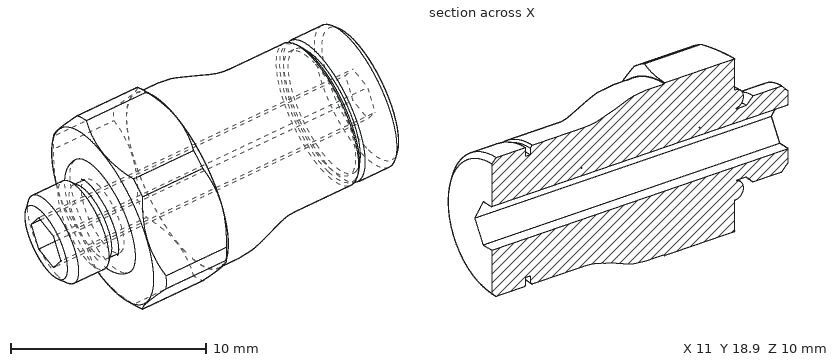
import cadquery as cq
import math

stud_radius = 2.5
stud_chamfer = 0.42
neck_radius = 2.08
thread_end = 2.25
neck_start = thread_end + stud_radius - neck_radius

hex_start = 3.4
hex_end = 7.9
hex_across_flats = 10.0
hex_corner_radius = 5.5
hex_chamfer_length = 0.44
hex_chamfer_depth = 0.52

seal_section_radius = 0.56

collar_radius = 4.95
collar_end = 9.1
sleeve_radius = 4.025
sleeve_start = 12.98
shoulder_angle = math.radians(18.7)

groove_radius = 3.52
groove_start = 16.45
groove_end = 16.73
sleeve_chamfer = 0.13
button_taper_length = 0.12
button_taper_depth = 0.03
button_chamfer = 0.28
overall_length = 18.9

socket_across_flats = 2.5


def hexagon_bar(across_flats, start, end):
    """Hexagonal prism along Y with two corners on the X axis."""
    sides = 6
    across_corners = across_flats / math.cos(math.pi / sides)
    return (
        cq.Workplane("XZ", origin=(0, start, 0))
        .polygon(sides, across_corners)
        .extrude(start - end)
    )


def revolve_about_y(profile):
    """Turn a closed (radius, Y) profile around the Y axis."""
    return profile.close().revolve(360, (0, 0), (0, 1))


def make_stud():
    profile = (
        cq.Workplane("XY")
        .lineTo(stud_radius - stud_chamfer, 0)
        .lineTo(stud_radius, stud_chamfer)
        .lineTo(stud_radius, thread_end)
        .lineTo(neck_radius, neck_start)
        .lineTo(neck_radius, hex_start)
        .lineTo(0, hex_start)
    )
    return revolve_about_y(profile)


def make_seal_ring():
    ring_radius = neck_radius + seal_section_radius
    section = cq.Workplane("XY").center(ring_radius, hex_start).circle(seal_section_radius)
    return section.revolve(360, (-ring_radius, 0), (-ring_radius, 1))


def make_hexagon():
    end_radius = hex_corner_radius - hex_chamfer_depth
    turned_profile = (
        cq.Workplane("XY")
        .moveTo(0, hex_start)
        .lineTo(end_radius, hex_start)
        .lineTo(hex_corner_radius, hex_start + hex_chamfer_length)
        .lineTo(hex_corner_radius, hex_end - hex_chamfer_length)
        .lineTo(end_radius, hex_end)
        .lineTo(0, hex_end)
    )
    bar = hexagon_bar(hex_across_flats, hex_start, hex_end)
    return bar.intersect(revolve_about_y(turned_profile))


def make_body():
    shoulder_length = sleeve_start - collar_end
    shoulder_drop = collar_radius - sleeve_radius
    tangent_length = shoulder_length - shoulder_drop / math.tan(shoulder_angle)
    arc_radius = tangent_length / (2 * math.tan(shoulder_angle / 2))
    arc_length_y = arc_radius * math.sin(shoulder_angle)
    arc_drop = arc_radius * (1 - math.cos(shoulder_angle))
    half_length_y = arc_radius * math.sin(shoulder_angle / 2)
    half_drop = arc_radius * (1 - math.cos(shoulder_angle / 2))

    profile = (
        cq.Workplane("XY")
        .moveTo(0, hex_end)
        .lineTo(collar_radius, hex_end)
        .lineTo(collar_radius, collar_end)
        .threePointArc(
            (collar_radius - half_drop, collar_end + half_length_y),
            (collar_radius - arc_drop, collar_end + arc_length_y),
        )
        .lineTo(sleeve_radius + arc_drop, sleeve_start - arc_length_y)
        .threePointArc(
            (sleeve_radius + half_drop, sleeve_start - half_length_y),
            (sleeve_radius, sleeve_start),
        )
        .lineTo(sleeve_radius, groove_start - sleeve_chamfer)
        .lineTo(sleeve_radius - sleeve_chamfer, groove_start)
        .lineTo(groove_radius, groove_start)
        .lineTo(groove_radius, groove_end)
        .lineTo(sleeve_radius - button_taper_depth, groove_end)
        .lineTo(sleeve_radius, groove_end + button_taper_length)
        .lineTo(sleeve_radius, overall_length - button_chamfer)
        .lineTo(sleeve_radius - button_chamfer, overall_length)
        .lineTo(0, overall_length)
    )
    return revolve_about_y(profile)


outside = make_hexagon().union(make_body()).union(make_stud()).union(make_seal_ring())
result = outside.cut(hexagon_bar(socket_across_flats, 0, overall_length))